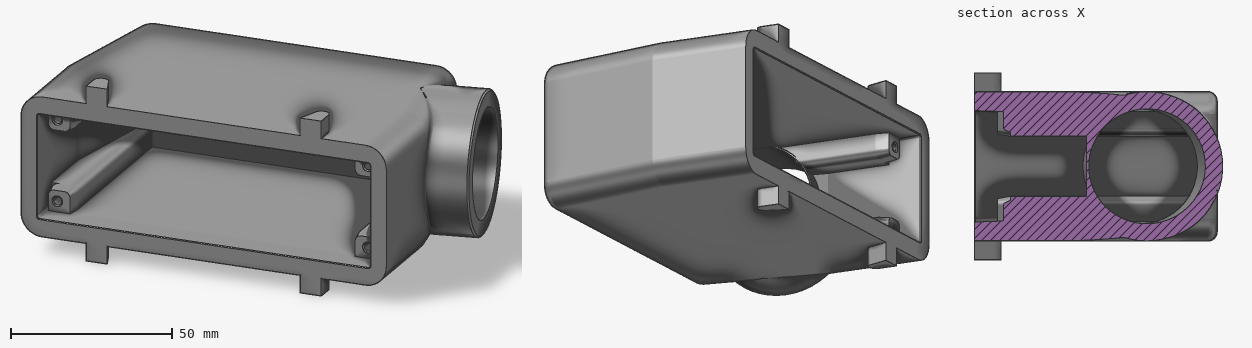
import cadquery as cq
import math


OVERALL_WIDTH = 136.3
OVERALL_DEPTH = 79.0

HOOD_WIDTH = 122.8
HOOD_THICKNESS = 46.4
HOOD_DEPTH = 75.3
FLANK_BEND_Y = 32.5
FLANK_LEAN = math.radians(10)
FLANK_EDGE_RADIUS = 7.1
BACK_EDGE_RADIUS = 3.0

FLANK_WALL = 5.5
BACK_WALL = 4.4
CAVITY_HEIGHT = 34.1
CAVITY_EDGE_RADIUS = 0.8
MOUTH_HEIGHT = 34.6
MOUTH_TAPER_DEPTH = 7.5
MOUTH_CHAMFER = 0.3

POST_START_Y = 7.1
POST_TIP_LENGTH = 4.1
POST_TIP_DRAFT = 10.0
POST_WIDTH = 8.7
POST_HEIGHT = 7.8
POST_ROOT = 2.7
POST_CORNER_RADIUS = 2.6
SCREW_X = 52.2
SCREW_Z = 13.5
SCREW_HOLE_RADIUS = 1.4
SCREW_HOLE_DEPTH = 10.9
COUNTERSINK_RADIUS = 1.8
COUNTERSINK_ANGLE = 45.0

OUTLET_RADIUS = HOOD_THICKNESS / 2
OUTLET_BORE_RADIUS = 17.7
OUTLET_LENGTH = 26.3
OUTLET_STUB_RADIUS = 18.3
OUTLET_JOINT_RADIUS = 0.7
OUTLET_CHAMFER = 0.5
OUTLET_END_X = (
    OVERALL_WIDTH - HOOD_WIDTH / 2
    - (OUTLET_RADIUS - OUTLET_CHAMFER) * math.sin(FLANK_LEAN)
)
OUTLET_END_Y = (
    OVERALL_DEPTH
    - OUTLET_RADIUS * math.cos(FLANK_LEAN)
    + OUTLET_CHAMFER * math.sin(FLANK_LEAN)
)

LUG_SPAN_Z = 58.0
LUG_OUTER_X = 39.5
LUG_INNER_X = 32.5
LUG_HEIGHT = 8.3
LUG_TIP_RADIUS = 2.5

SIDES = (-1, 1)


def flank_profile(half_width, depth, height):
    """Prism centred on Z whose two flanks lean inwards beyond the bend."""
    back_half_width = half_width - (depth - FLANK_BEND_Y) * math.tan(FLANK_LEAN)
    return (
        cq.Workplane("XY")
        .moveTo(-half_width, 0)
        .lineTo(half_width, 0)
        .lineTo(half_width, FLANK_BEND_Y)
        .lineTo(back_half_width, depth)
        .lineTo(-back_half_width, depth)
        .lineTo(-half_width, FLANK_BEND_Y)
        .close()
        .extrude(height / 2, both=True)
    )


def make_hood():
    hood = flank_profile(HOOD_WIDTH / 2, HOOD_DEPTH, HOOD_THICKNESS)
    flank_edges = hood.faces("<Z or >Z").edges("not |X")
    hood = flank_edges.fillet(FLANK_EDGE_RADIUS)
    return hood.faces(">Y").edges().fillet(BACK_EDGE_RADIUS)


def make_cavity():
    half_width = HOOD_WIDTH / 2 - FLANK_WALL
    cavity = flank_profile(half_width, HOOD_DEPTH - BACK_WALL, CAVITY_HEIGHT)
    flank_edges = cavity.faces("<Z or >Z").edges("not |X")
    cavity = flank_edges.fillet(CAVITY_EDGE_RADIUS)
    mouth = (
        cq.Workplane("YZ")
        .polyline([
            (0, -MOUTH_HEIGHT / 2),
            (MOUTH_TAPER_DEPTH, -CAVITY_HEIGHT / 2),
            (MOUTH_TAPER_DEPTH, CAVITY_HEIGHT / 2),
            (0, MOUTH_HEIGHT / 2),
        ])
        .close()
        .extrude(half_width, both=True)
        .edges("not(|X or |Z)")
        .fillet(CAVITY_EDGE_RADIUS)
    )
    return cavity.union(mouth)


def chamfer_mouth(shell):
    """Break the inner edge of the rim; the outer edge stays sharp."""
    margin = FLANK_WALL / 4
    half_width = HOOD_WIDTH / 2 - FLANK_WALL + margin
    half_height = MOUTH_HEIGHT / 2 + margin
    inner_edges = cq.selectors.BoxSelector(
        (-half_width, -margin, -half_height),
        (half_width, margin, half_height),
    )
    return shell.faces("<Y").edges(inner_edges).chamfer(MOUTH_CHAMFER)


def make_post(side_x, side_z):
    """Corner post standing against two cavity walls; its open end is drafted."""
    center_x = side_x * (HOOD_WIDTH / 2 - FLANK_WALL - POST_WIDTH / 2)
    section_height = POST_HEIGHT + POST_ROOT
    center_z = side_z * (CAVITY_HEIGHT / 2 + POST_ROOT - section_height / 2)
    shoulder_y = POST_START_Y + POST_TIP_LENGTH
    shoulder = cq.Workplane("XZ", origin=(center_x, shoulder_y, center_z))

    shaft_length = HOOD_DEPTH - BACK_WALL - shoulder_y
    free_edge = cq.selectors.NearestToPointSelector((
        center_x - side_x * POST_WIDTH / 2,
        shoulder_y + shaft_length / 2,
        center_z - side_z * section_height / 2,
    ))
    shaft = shoulder.rect(POST_WIDTH, section_height).extrude(-shaft_length)
    shaft = shaft.edges(free_edge).fillet(POST_CORNER_RADIUS)

    tip_outline = cq.Sketch().rect(POST_WIDTH, section_height).vertices().fillet(POST_CORNER_RADIUS)
    tip = shoulder.placeSketch(tip_outline).extrude(POST_TIP_LENGTH, taper=POST_TIP_DRAFT)
    return shaft.union(tip)


def make_screw_hole(side_x, side_z):
    """Blind hole with a countersunk rim."""
    post_face = cq.Workplane("XZ", origin=(side_x * SCREW_X, POST_START_Y, side_z * SCREW_Z))
    hole = post_face.circle(SCREW_HOLE_RADIUS).extrude(-SCREW_HOLE_DEPTH)
    sink_depth = (COUNTERSINK_RADIUS - SCREW_HOLE_RADIUS) / math.tan(math.radians(COUNTERSINK_ANGLE))
    countersink = post_face.circle(COUNTERSINK_RADIUS).extrude(-sink_depth, taper=COUNTERSINK_ANGLE)
    return hole.union(countersink)


def outlet_plane():
    """Outer end face of the outlet: normal points inwards, local Y towards the hood back."""
    inward = (-math.cos(FLANK_LEAN), -math.sin(FLANK_LEAN), 0)
    return cq.Plane(origin=(OUTLET_END_X, OUTLET_END_Y, 0), xDir=(0, 0, 1), normal=inward)


def outlet_cylinder(radius):
    """Cylinder running from the outer end face back into the cavity."""
    return cq.Workplane(outlet_plane()).circle(radius).extrude(OUTLET_LENGTH)


def add_outlet(hood):
    """Join the chamfered outlet to the hood with a small fillet around the joint."""
    outlet = outlet_cylinder(OUTLET_RADIUS).faces(">X").edges().chamfer(OUTLET_CHAMFER)
    outlet_face = cq.selectors.NearestToPointSelector((OUTLET_END_X, OUTLET_END_Y, 0))
    joined = hood.union(outlet)
    joint = joined.faces("%CYLINDER").faces(outlet_face).edges("not(%LINE or >X)")
    return joint.fillet(OUTLET_JOINT_RADIUS)


def make_outlet_stub():
    """Round saddle inside the cavity, filled up solid to the back wall."""
    fill = (
        cq.Workplane(outlet_plane())
        .center(0, OUTLET_RADIUS / 2)
        .rect(2 * OUTLET_STUB_RADIUS, OUTLET_RADIUS)
        .extrude(OUTLET_LENGTH)
    )
    return outlet_cylinder(OUTLET_STUB_RADIUS).union(fill)


def make_lug(side_x):
    """Lug through the full hood thickness: upright outer side, round tip, sloping inner side."""
    tip_x = LUG_OUTER_X - LUG_TIP_RADIUS
    tip_y = LUG_HEIGHT - LUG_TIP_RADIUS
    foot_distance = math.hypot(tip_x - LUG_INNER_X, tip_y)
    foot_direction = math.atan2(-tip_y, LUG_INNER_X - tip_x)
    touch_direction = foot_direction - math.acos(LUG_TIP_RADIUS / foot_distance)
    touch_x = tip_x + LUG_TIP_RADIUS * math.cos(touch_direction)
    touch_y = tip_y + LUG_TIP_RADIUS * math.sin(touch_direction)
    return (
        cq.Workplane("XY")
        .moveTo(side_x * LUG_INNER_X, 0)
        .lineTo(side_x * LUG_OUTER_X, 0)
        .lineTo(side_x * LUG_OUTER_X, tip_y)
        .threePointArc((side_x * tip_x, LUG_HEIGHT), (side_x * touch_x, touch_y))
        .close()
        .extrude(LUG_SPAN_Z / 2, both=True)
    )


hood = make_hood()
shell = add_outlet(hood)
for side in SIDES:
    shell = shell.union(make_lug(side))

shell = chamfer_mouth(shell.cut(make_cavity()))
result = shell.union(make_outlet_stub().intersect(hood))

for side_x in SIDES:
    for side_z in SIDES:
        result = result.union(make_post(side_x, side_z).intersect(hood))
        result = result.cut(make_screw_hole(side_x, side_z))

result = result.cut(outlet_cylinder(OUTLET_BORE_RADIUS))